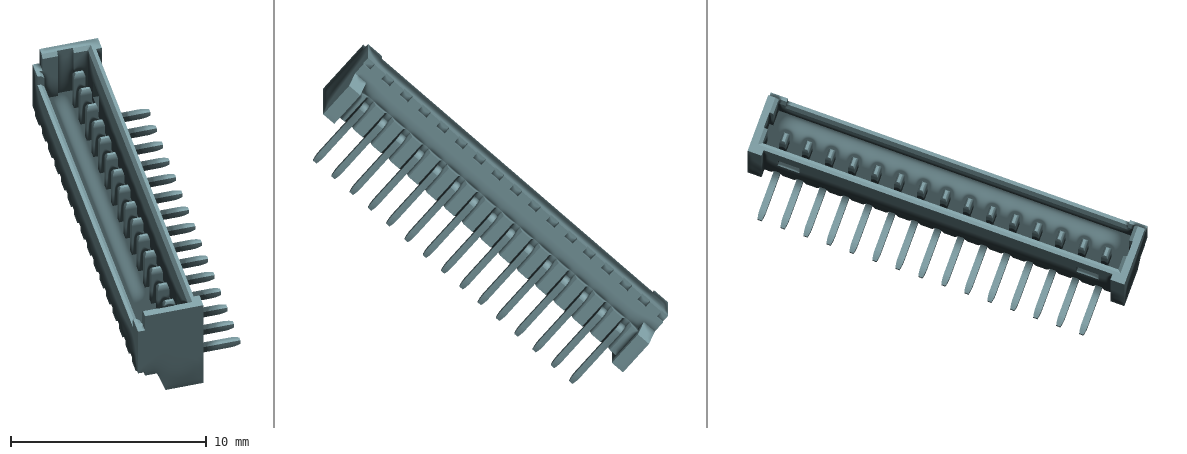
import cadquery as cq


length = 20.5
height = 5.5
foot_depth = 3.46
back_wall_y = 3.15
body_base_z = 1.3
comb_base_z = 0.68
foot_width = 0.75
foot_slope_top_y = 1.0
foot_slope_base_y = 1.45
comb_front_y = foot_slope_base_y

end_wall = 0.57
front_wall = 0.37
cavity_back_y = 2.79
cavity_floor_z = 2.5
lead_in = 0.18
end_slot_wall = 0.37
end_slot_front_y = 1.19
end_slot_back_y = 2.03

shoulder_z = 4.49
front_wall_top_z = 3.9
shoulder_width = 0.95

recess_depth = 0.37
pin_recess_width = 0.57
pin_recess_top_z = 1.6
end_recess_width = 0.45
end_recess_top_z = 1.54

window_width = 1.2
window_base_z = 2.87
window_top_z = 4.08

pin_count = 15
pin_pitch = 1.25
pin_width = 0.35
pin_depth = 0.62
pin_front_y = 1.75
pin_top_z = 4.82
pin_tip_length = 0.3
pin_tip_inset = 0.1
tail_base_z = 0.85
tail_thickness = 0.37
tail_end_y = 5.8
tail_tip_length = 0.51
tail_tip_inset = 0.06
elbow_radius = 0.57

groove_mouth_width = 0.64
groove_taper_top_z = 1.09
tail_top_z = tail_base_z + tail_thickness


def box(x_min, x_max, y_min, y_max, z_min, z_max):
    size = (x_max - x_min, y_max - y_min, z_max - z_min)
    return cq.Workplane("XY").box(*size, centered=False).translate((x_min, y_min, z_min))


def centered_box(x_center, width, y_min, y_max, z_min, z_max):
    return box(x_center - width / 2, x_center + width / 2, y_min, y_max, z_min, z_max)


def extrude_along_x(points, x_center, width):
    profile = cq.Workplane("YZ", origin=(x_center - width / 2, 0, 0)).polyline(points).close()
    return profile.extrude(width)


def make_shell():
    """Outer block, with a stepped front, a comb underneath and a foot at each end."""
    body_profile = [
        (0, body_base_z),
        (comb_front_y, body_base_z),
        (comb_front_y, comb_base_z),
        (back_wall_y, comb_base_z),
        (back_wall_y, height),
        (front_wall, height),
        (front_wall, shoulder_z),
        (0, shoulder_z),
    ]
    foot_profile = [
        (foot_slope_base_y, 0),
        (foot_depth, 0),
        (foot_depth, height),
        (foot_slope_top_y, height),
        (foot_slope_top_y, body_base_z),
    ]
    shell = extrude_along_x(body_profile, 0, length)
    for side in (-1, 1):
        foot_x = side * (length - foot_width) / 2
        shell = shell.cut(centered_box(foot_x, foot_width, 0, foot_depth, 0, body_base_z))
        shell = shell.union(extrude_along_x(foot_profile, foot_x, foot_width))
    return shell


def front_lead_in(rim_z, width):
    """Wedge that bevels the inner edge of the front wall below the given rim."""
    profile = [
        (front_wall, rim_z - lead_in),
        (front_wall - lead_in, rim_z),
        (front_wall, rim_z),
    ]
    return extrude_along_x(profile, 0, width)


def make_cavity():
    """Space for the mating plug, including the bevelled mouth and the end slots."""
    width = length - 2 * end_wall
    cavity = centered_box(0, width, front_wall, cavity_back_y, cavity_floor_z, height)

    mouth_front_y = front_wall - lead_in
    mouth_depth = cavity_back_y - mouth_front_y
    mouth = (
        cq.Workplane("XY", origin=(0, mouth_front_y + mouth_depth / 2, height - lead_in))
        .rect(width, mouth_depth)
        .workplane(offset=lead_in)
        .rect(width + 2 * lead_in, mouth_depth + 2 * lead_in)
        .loft()
    )
    slot = centered_box(
        0, length - 2 * end_slot_wall, end_slot_front_y, end_slot_back_y, cavity_floor_z, height
    )
    return cavity.union(mouth).union(slot).union(front_lead_in(shoulder_z, width))


def cut_front_wall(housing):
    """Lower the front wall between the shoulders and notch its bottom edge at the ends."""
    opening_width = length - 2 * shoulder_width
    housing = housing.cut(centered_box(0, opening_width, 0, front_wall, front_wall_top_z, height))
    housing = housing.cut(front_lead_in(front_wall_top_z, opening_width))
    for side in (-1, 1):
        recess_x = side * (length - end_recess_width) / 2
        housing = housing.cut(
            centered_box(recess_x, end_recess_width, 0, recess_depth, body_base_z, end_recess_top_z)
        )
    return housing


def cut_windows(housing):
    window_x = (pin_count - 2) / 2 * pin_pitch
    for side in (-1, 1):
        housing = housing.cut(
            centered_box(
                side * window_x, window_width, cavity_back_y, back_wall_y, window_base_z, window_top_z
            )
        )
    return housing


def make_pin_clearance(x):
    """Front wall recess and flared comb groove at one pin."""
    recess = centered_box(x, pin_recess_width, 0, recess_depth, body_base_z, pin_recess_top_z)
    mouth = groove_mouth_width / 2
    throat = pin_width / 2
    groove = (
        cq.Workplane("XZ", origin=(x, comb_front_y, 0))
        .moveTo(-mouth, comb_base_z)
        .lineTo(mouth, comb_base_z)
        .lineTo(throat, groove_taper_top_z)
        .lineTo(throat, tail_top_z)
        .lineTo(-throat, tail_top_z)
        .lineTo(-throat, groove_taper_top_z)
        .close()
        .extrude(comb_front_y - back_wall_y)
    )
    return recess.union(groove)


def tapered_bar(width, depth, bar_length, tip_length, tip_inset):
    """Upright bar on Z = 0 whose four sides curve inward to a small flat tip."""

    shoulder = bar_length - tip_length
    tip_radius = (tip_length**2 + tip_inset**2) / (2 * tip_inset)
    mid_tip_inset = tip_radius - (tip_radius**2 - (tip_length / 2) ** 2) ** 0.5

    def outline(plane, across, through):
        half = across / 2
        tip_half = half - tip_inset
        mid_half = half - mid_tip_inset
        mid_tip = shoulder + tip_length / 2
        return (
            cq.Workplane(plane)
            .moveTo(-half, 0)
            .lineTo(half, 0)
            .lineTo(half, shoulder)
            .threePointArc((mid_half, mid_tip), (tip_half, bar_length))
            .lineTo(-tip_half, bar_length)
            .threePointArc((-mid_half, mid_tip), (-half, shoulder))
            .close()
            .extrude(through / 2, both=True)
        )

    return outline("XZ", width, depth).intersect(outline("YZ", depth, width))


def make_pin():
    """Bent pin at X = 0: an upright contact and a tail leaving through the back."""
    contact = tapered_bar(
        pin_width, pin_depth, pin_top_z - tail_base_z, pin_tip_length, pin_tip_inset
    ).translate((0, pin_front_y + pin_depth / 2, tail_base_z))
    contact = contact.faces("<Z").edges("<Y").fillet(elbow_radius)

    tail_start_y = pin_front_y + pin_depth - tail_thickness / 2
    tail = (
        tapered_bar(
            pin_width, tail_thickness, tail_end_y - tail_start_y, tail_tip_length, tail_tip_inset
        )
        .rotate((0, 0, 0), (1, 0, 0), -90)
        .translate((0, tail_start_y, tail_base_z + tail_thickness / 2))
    )
    return contact.union(tail)


result = cut_windows(cut_front_wall(make_shell().cut(make_cavity())))

pin = make_pin()
for index in range(pin_count):
    pin_x = (index - (pin_count - 1) / 2) * pin_pitch
    result = result.cut(make_pin_clearance(pin_x)).union(pin.translate((pin_x, 0, 0)))